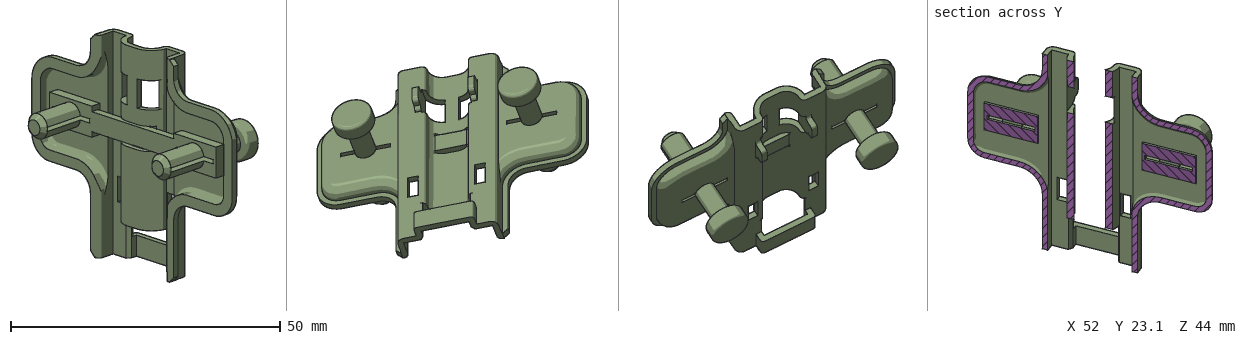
import cadquery as cq

sheet = 1.2
eps = 0.5

wing_half = 26.0
wing_top = 10.25
wing_bottom = -10.45
wing_top_radius = 5.55
wing_bottom_radius = 4.6
neck_half = 10.8
neck_radius = 3.65
plate_top = 17.45
plate_bottom = -26.5
neck_chamfer = 1.15
plate_height = plate_top - plate_bottom

pad_inset = 1.05
pad_height = 3.6
pad_round = 2.05
cavity_depth = pad_height - sheet
cavity_round = pad_round - sheet

channel_half = 9.65
channel_height = 5.0
channel_round = 1.4
channel_inner_half = 8.6
cavity_inset = neck_half - channel_inner_half
ledge_front = channel_height - sheet
mouth_round = 0.95

trough_flat_half = 1.2
trough_outer_radius = 4.0
trough_half = trough_flat_half + trough_outer_radius
groove_half = trough_half - sheet
trough_bottom = -18.15
shoulder_round = channel_height - trough_outer_radius

window_inner = 1.3
window_outer = 4.8
window_bottom = 5.7
window_top = 11.5
ledge_slot_inner = 5.45
ledge_slot_outer = 7.5
ledge_slot_bottom = -15.9
ledge_slot_top = -10.9
bar_gap_half = 2.5

ear_bottom = 6.7
ear_top = 10.45
ear_round = 0.85
ear_rear = 7.4
bridge_inner_half = 4.65
bridge_outer_half = bridge_inner_half + sheet
bridge_rear = 7.1
bridge_top = -22.35
bridge_round = 0.7
lip_width = trough_half - bridge_inner_half
lip_depth = 0.8

bar_front = 0.2
bar_rear = 1.85
bar_half_height = 2.0
bar_end_inner = 10.6
bar_end_outer = 21.6
bar_end_half_height = 3.05
screw_x = 16.0
pin_radius = 4.95 / 2
pin_tip_radius = 1.5
pin_tip_length = 1.1
pin_tip = -9.6
shank_radius = 4.0 / 2
head_radius = 7.75 / 2
head_front = 10.4
head_rear = 13.55
head_round = 0.6
slot_half_length = 4.85
slot_half_width = 0.4


def box(x0, x1, y0, y1, z0, z1):
    return cq.Workplane("XY").box(x1 - x0, y1 - y0, z1 - z0, centered=False).translate((x0, y0, z0))


def both_sides(body):
    """The body together with its mirror image across the middle plane."""
    return body.union(body.mirror("YZ"))


def upright(profile, z0, z1):
    """Extrude an XY profile from z0 up to z1."""
    return profile.extrude(z1 - z0).translate((0, 0, z0))


def cross(inset, overrun, thickness):
    """Cross-shaped slab whose outline is moved in by inset and whose neck ends run on by overrun."""
    half = wing_half - inset
    top = wing_top - inset
    bottom = wing_bottom + inset
    neck = neck_half - inset
    top_r = wing_top_radius - inset
    bottom_r = wing_bottom_radius - inset
    neck_r = neck_radius + inset
    return (
        cq.Workplane("XZ")
        .moveTo(0, plate_bottom - overrun)
        .lineTo(neck, plate_bottom - overrun)
        .lineTo(neck, bottom - neck_r)
        .tangentArcPoint((neck + neck_r, bottom), relative=False)
        .lineTo(half - bottom_r, bottom)
        .tangentArcPoint((half, bottom + bottom_r), relative=False)
        .lineTo(half, top - top_r)
        .tangentArcPoint((half - top_r, top), relative=False)
        .lineTo(neck + neck_r, top)
        .tangentArcPoint((neck, top + neck_r), relative=False)
        .lineTo(neck, plate_top + overrun)
        .lineTo(0, plate_top + overrun)
        .mirrorY()
        .extrude(-thickness)
    )


def make_flange():
    return cross(0, 0, sheet).edges("|Y").edges("<Z or >Z").chamfer(neck_chamfer)


def make_pad():
    body = cross(pad_inset, plate_height, pad_height).faces(">Y").edges().fillet(pad_round)
    return body.intersect(
        box(-wing_half, wing_half, 0, channel_height, plate_bottom, plate_top)
    )


def make_cavity():
    return cross(cavity_inset, plate_height, cavity_depth).faces(">Y").edges().fillet(cavity_round)


def make_channel_interior():
    """Space between the channel walls, rounded open at its mouth."""
    profile = (
        cq.Workplane("XY")
        .moveTo(0, ledge_front)
        .lineTo(channel_inner_half, ledge_front)
        .lineTo(channel_inner_half, mouth_round)
        .tangentArcPoint((channel_inner_half + mouth_round, 0), relative=False)
        .lineTo(channel_inner_half + mouth_round, -eps)
        .lineTo(0, -eps)
        .mirrorY()
    )
    return upright(profile, plate_bottom, plate_top)


def make_channel_block():
    block = box(-channel_half, channel_half, 0, channel_height, plate_bottom, plate_top)
    return block.faces(">Y").edges("|Z").fillet(channel_round)


def make_trough():
    profile = (
        cq.Workplane("XY")
        .lineTo(trough_flat_half, 0)
        .tangentArcPoint((trough_half, trough_outer_radius), relative=False)
        .lineTo(trough_half, channel_height)
        .lineTo(0, channel_height)
        .mirrorY()
    )
    return upright(profile, trough_bottom, plate_top)


def make_groove():
    profile = (
        cq.Workplane("XY")
        .moveTo(0, sheet)
        .lineTo(trough_flat_half, sheet)
        .tangentArcPoint((groove_half, trough_outer_radius), relative=False)
        .tangentArcPoint((groove_half + shoulder_round, channel_height), relative=False)
        .lineTo(groove_half + shoulder_round, channel_height + eps)
        .lineTo(0, channel_height + eps)
        .mirrorY()
    )
    return upright(profile, trough_bottom, plate_top)


def make_lower_opening():
    """Opening below the trough, with a sloped lip along the front edges of the ledges."""
    profile = (
        cq.Workplane("XY")
        .moveTo(0, ledge_front)
        .lineTo(bridge_inner_half + lip_width, ledge_front)
        .lineTo(bridge_inner_half, ledge_front + lip_depth)
        .lineTo(bridge_inner_half, channel_height + eps)
        .lineTo(0, channel_height + eps)
        .mirrorY()
    )
    return upright(profile, plate_bottom, trough_bottom)


def make_ears():
    root = channel_height
    ear = (
        cq.Workplane("YZ")
        .moveTo(root + ear_round, ear_bottom)
        .lineTo(ear_rear - ear_round, ear_bottom)
        .tangentArcPoint((ear_rear, ear_bottom + ear_round), relative=False)
        .lineTo(ear_rear, ear_top - ear_round)
        .tangentArcPoint((ear_rear - ear_round, ear_top), relative=False)
        .lineTo(root + ear_round, ear_top)
        .tangentArcPoint((root, ear_top + ear_round), relative=False)
        .lineTo(ledge_front, ear_top + ear_round)
        .lineTo(ledge_front, ear_bottom - ear_round)
        .lineTo(root, ear_bottom - ear_round)
        .tangentArcPoint((root + ear_round, ear_bottom), relative=False)
        .close()
        .extrude(sheet)
        .translate((window_outer, 0, 0))
    )
    return both_sides(ear)


def make_bridge():
    outer = box(
        -bridge_outer_half, bridge_outer_half, ledge_front + lip_depth, bridge_rear, plate_bottom, bridge_top
    )
    outer = outer.faces(">Y").edges("|Z").fillet(bridge_round)
    inner = box(
        -bridge_inner_half, bridge_inner_half, 0, bridge_rear - sheet, plate_bottom, bridge_top
    )
    return outer.cut(inner)


def make_plate():
    body = make_flange().union(make_pad()).union(make_channel_block())
    body = body.cut(make_cavity())
    body = body.cut(make_channel_interior())

    body = body.union(make_trough()).cut(make_groove())

    windows = box(window_inner, window_outer, -eps, channel_height + eps, window_bottom, window_top)
    ledge_slots = box(
        ledge_slot_inner, ledge_slot_outer, -eps, channel_height + eps, ledge_slot_bottom, ledge_slot_top
    )
    body = body.cut(both_sides(windows)).cut(both_sides(ledge_slots))

    body = body.cut(make_lower_opening())
    body = body.union(make_ears()).union(make_bridge())

    bar_gap = box(-trough_half, trough_half, -eps, bar_rear, -bar_gap_half, bar_gap_half)
    body = body.cut(bar_gap)

    shank_hole = turned([(0, 0), (shank_radius, 0), (shank_radius, channel_height), (0, channel_height)])
    return body.cut(both_sides(shank_hole)).cut(screw_slots())


def turned(points):
    """Solid of revolution about the right-hand screw axis; points are (radius, Y)."""
    profile = cq.Workplane("YZ").polyline([(y, radius) for radius, y in points]).close()
    return profile.revolve(360, (0, 0, 0), (1, 0, 0)).translate((screw_x, 0, 0))


def screw_slots():
    """Slots that split the pins lengthwise and run on through bar and plate."""
    slot = box(
        screw_x - slot_half_length, screw_x + slot_half_length,
        pin_tip + pin_tip_length, pad_height,
        -slot_half_width, slot_half_width,
    )
    return both_sides(slot)


def make_screw_bar():
    bar = box(-bar_end_inner, bar_end_inner, bar_front, bar_rear, -bar_half_height, bar_half_height)
    ends = box(
        bar_end_inner, bar_end_outer, bar_front, cavity_depth, -bar_end_half_height, bar_end_half_height
    )
    pin = turned([
        (0, pin_tip),
        (pin_tip_radius, pin_tip),
        (pin_radius, pin_tip + pin_tip_length),
        (pin_radius, bar_rear),
        (0, bar_rear),
    ])
    body = bar.union(both_sides(ends)).union(both_sides(pin)).cut(screw_slots())

    shank = turned([(0, cavity_depth), (shank_radius, cavity_depth), (shank_radius, head_front), (0, head_front)])
    head = turned([(0, head_front), (head_radius, head_front), (head_radius, head_rear), (0, head_rear)])
    head = head.edges().fillet(head_round)
    return body.union(both_sides(shank.union(head)))


plate = make_plate()
screw_bar = make_screw_bar()
result = cq.Compound.makeCompound([plate.val(), screw_bar.val()])